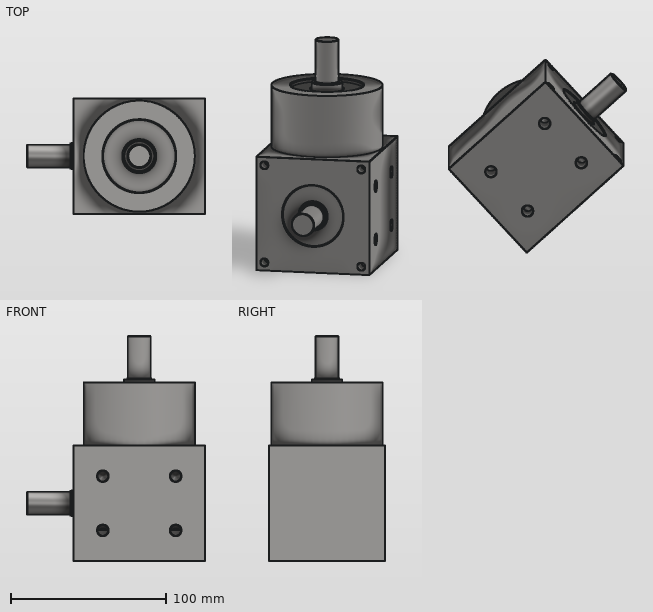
import cadquery as cq
import math

HOUSING_X = 85.0
HOUSING_Y = 75.0
HOUSING_Z = 75.0
HOUSING_EDGE = 0.35
CROSS_AXIS_Z = HOUSING_Z / 2

TOWER_DIAMETER = 72.0
TOWER_HEIGHT = 40.5
TOWER_EDGE = 0.25
TOWER_TOP_Z = HOUSING_Z + TOWER_HEIGHT

SHAFT_DIAMETER = 15.0
SHAFT_LENGTH = 30.0
SHAFT_EDGE = 0.5
TOP_COLLAR_EDGE = 0.4
TOP_COLLAR_DIAMETER = 20.0
TOP_COLLAR_LENGTH = 2.0
TOP_SHOULDER_DIAMETER = 15.6
TOP_SHOULDER_LENGTH = 0.5
SIDE_COLLAR_DIAMETER = 17.0
SIDE_COLLAR_LENGTH = 1.2
SIDE_COLLAR_EDGE = 0.1
SIDE_SHOULDER_DIAMETER = 16.4
SIDE_SHOULDER_LENGTH = 0.8

TOP_RECESS_DIAMETER = 46.6
TOP_RECESS_DEPTH = 2.5
TOP_GAP_DIAMETER = 22.2
SIDE_RECESS_DIAMETER = 39.6
SIDE_RECESS_DEPTH = 0.7
SIDE_GAP_DIAMETER = 19.5
RECESS_EDGE = 0.7

ROOT_OVERLAP = 1.0
TOP_COLLAR_ROOT = TOP_RECESS_DEPTH + (TOP_GAP_DIAMETER - TOP_COLLAR_DIAMETER) / 2 + ROOT_OVERLAP
SIDE_COLLAR_ROOT = SIDE_RECESS_DEPTH + (SIDE_GAP_DIAMETER - SIDE_COLLAR_DIAMETER) / 2 + ROOT_OVERLAP

DRILL_POINT_ANGLE = 118.0
MOUNT_HOLE_DIAMETER = 6.8
MOUNT_HOLE_EDGE = 0.45
MOUNT_HOLE_DEPTH = 20.0
MOUNT_HOLE_SPACING_X = 47.0
MOUNT_HOLE_SPACING_CROSS = 35.0
SIDE_HOLE_DIAMETER = 4.8
SIDE_HOLE_EDGE = 0.35
SIDE_HOLE_DEPTH = 12.0
SIDE_HOLE_SPACING = 64.0

TOP_FACE = cq.Plane(origin=(0, 0, TOWER_TOP_Z), xDir=(1, 0, 0), normal=(0, 0, 1))
SIDE_FACE = cq.Plane(origin=(-HOUSING_X / 2, 0, CROSS_AXIS_Z), xDir=(0, -1, 0), normal=(-1, 0, 0))
FRONT_FACE = cq.Plane(origin=(0, -HOUSING_Y / 2, CROSS_AXIS_Z), xDir=(1, 0, 0), normal=(0, -1, 0))
BOTTOM_FACE = cq.Plane(origin=(0, 0, 0), xDir=(1, 0, 0), normal=(0, 0, -1))


def make_housing():
    """Block with all edges broken, carrying the round tower."""
    block = cq.Workplane("XY").box(HOUSING_X, HOUSING_Y, HOUSING_Z, centered=(True, True, False))
    block = block.edges().chamfer(HOUSING_EDGE)
    tower = cq.Workplane("XY").workplane(offset=HOUSING_Z).circle(TOWER_DIAMETER / 2).extrude(TOWER_HEIGHT)
    tower = tower.faces(">Z").edges().chamfer(TOWER_EDGE)
    return block.union(tower)


def make_cone(face, depth, mouth_diameter, end_diameter):
    """45-degree cone narrowing inward, its mouth lying the given depth below the face."""
    height = (mouth_diameter - end_diameter) / 2
    mouth_centre = face.origin - face.zDir * depth
    cone = cq.Solid.makeCone(mouth_diameter / 2, end_diameter / 2, height, mouth_centre, -face.zDir)
    return cq.Workplane(cone)


def make_seal_recess(face, recess_diameter, recess_depth, gap_diameter, collar_diameter):
    """Cutter for a round recess with a chamfered mouth and a tapered gap closing onto the collar."""
    recess = cq.Workplane(face).circle(recess_diameter / 2).extrude(-recess_depth)
    mouth = make_cone(face, 0, recess_diameter + 2 * RECESS_EDGE, recess_diameter)
    gap = make_cone(face, recess_depth, gap_diameter, collar_diameter)
    return recess.union(mouth).union(gap)


def make_collar(face, diameter, length, edge, root_depth):
    """Collar standing out of a face, chamfered at its outer end and rooted below the face."""
    collar = cq.Workplane(face).workplane(offset=-root_depth).circle(diameter / 2).extrude(root_depth + length)
    return collar.faces(cq.selectors.DirectionMinMaxSelector(face.zDir)).edges().chamfer(edge)


def make_shaft(face, shoulder_diameter, shoulder_reach):
    """Shaft end standing out of a face, with a slightly larger shoulder at its root."""
    shoulder = cq.Workplane(face).circle(shoulder_diameter / 2).extrude(shoulder_reach)
    shaft = cq.Workplane(face).circle(SHAFT_DIAMETER / 2).extrude(SHAFT_LENGTH)
    shaft = shaft.faces(cq.selectors.DirectionMinMaxSelector(face.zDir)).edges().chamfer(SHAFT_EDGE)
    return shoulder.union(shaft)


def make_drilled_holes(face, spacing_across, spacing_up, diameter, edge, depth):
    """Cutter for a 2 x 2 pattern of blind holes with chamfered mouths and conical drill points."""
    radius = diameter / 2
    point_length = radius / math.tan(math.radians(DRILL_POINT_ANGLE / 2))
    profile = [(0, 0), (radius + edge, 0), (radius, -edge), (radius, -depth), (0, -depth - point_length)]
    drill = cq.Workplane("XZ").polyline(profile).close().revolve(360, (0, 0, 0), (0, 1, 0)).val()
    pattern = cq.Workplane(face).rarray(spacing_across, spacing_up, 2, 2)
    return pattern.eachpoint(drill, useLocalCoordinates=True)


def make_mount_holes(face):
    """Cutter for the mounting holes in one housing face."""
    return make_drilled_holes(
        face,
        MOUNT_HOLE_SPACING_X,
        MOUNT_HOLE_SPACING_CROSS,
        MOUNT_HOLE_DIAMETER,
        MOUNT_HOLE_EDGE,
        MOUNT_HOLE_DEPTH,
    )


def make_side_holes():
    """Cutter for the corner holes around the side shaft."""
    return make_drilled_holes(
        SIDE_FACE, SIDE_HOLE_SPACING, SIDE_HOLE_SPACING, SIDE_HOLE_DIAMETER, SIDE_HOLE_EDGE, SIDE_HOLE_DEPTH
    )


def add_top_shaft_end(body):
    """Add the recess, collar and shaft on top of the tower."""
    recess = make_seal_recess(
        TOP_FACE, TOP_RECESS_DIAMETER, TOP_RECESS_DEPTH, TOP_GAP_DIAMETER, TOP_COLLAR_DIAMETER
    )
    collar = make_collar(
        TOP_FACE, TOP_COLLAR_DIAMETER, TOP_COLLAR_LENGTH, TOP_COLLAR_EDGE, TOP_COLLAR_ROOT
    )
    shaft = make_shaft(TOP_FACE, TOP_SHOULDER_DIAMETER, TOP_COLLAR_LENGTH + TOP_SHOULDER_LENGTH)
    return body.cut(recess).union(collar).union(shaft)


def add_side_shaft_end(body):
    """Add the recess, collar and shaft on the -X side of the housing."""
    recess = make_seal_recess(
        SIDE_FACE, SIDE_RECESS_DIAMETER, SIDE_RECESS_DEPTH, SIDE_GAP_DIAMETER, SIDE_COLLAR_DIAMETER
    )
    collar = make_collar(
        SIDE_FACE, SIDE_COLLAR_DIAMETER, SIDE_COLLAR_LENGTH, SIDE_COLLAR_EDGE, SIDE_COLLAR_ROOT
    )
    shaft = make_shaft(SIDE_FACE, SIDE_SHOULDER_DIAMETER, SIDE_COLLAR_LENGTH + SIDE_SHOULDER_LENGTH)
    return body.cut(recess).union(collar).union(shaft)


result = make_housing()
result = add_top_shaft_end(result)
result = add_side_shaft_end(result)
result = result.cut(make_mount_holes(FRONT_FACE))
result = result.cut(make_mount_holes(BOTTOM_FACE))
result = result.cut(make_side_holes())